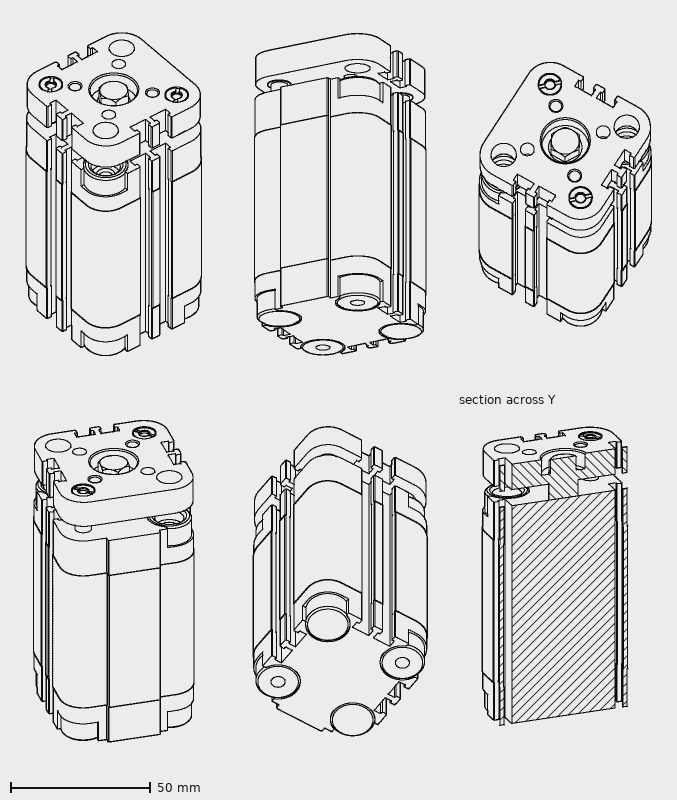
import cadquery as cq
total_height = 100.5
plate_thickness = 10.0
gap_height = 6.0
end_cap_height = 14.6
plate_bottom = total_height - plate_thickness
housing_height = plate_bottom - gap_height

barrel_half = 25.0
end_cap_half = 24.8
plate_half = 24.7
barrel_corner_radius = 8.9
end_cap_corner_radius = 8.7
plate_corner_radius = 8.9

ridge_half_width = 9.8
ridge_height = 1.9
ridge_chamfer = 0.4

slot_floor = 20.0
lip_thickness = 2.0
slot_half_width = 8.0
mouth_half_width = 7.0
web_half_width = 1.0
web_head_half_width = 1.9
mouth_chamfer = 0.3

guide_offset = 16.1
boss_radius = 7.99
boss_chamfer = 0.7
boss_depth = 7.8
notch_inset = 3.1
notch_start = guide_offset - notch_inset

screw_bore_diameter = 10.5
screw_bore_chamfer = 1.0
screw_bore_depth = 4.8
screw_cone_diameter = 6.7
screw_hole_diameter = 5.0

access_hole_diameter = 9.0
small_hole_offset = 9.9
plain_hole_diameter = 4.9
threaded_hole_diameter = 4.1
threaded_hole_mouth = 5.0
nut_bore_diameter = 17.0
nut_bore_mouth = 18.0
nut_bore_depth = 6.0

rod_diameter = 12.0
rod_across_flats = 10.0
flats_start = 1.5
rod_shoulder_rise = 0.1
hexagon_drop = 0.5

guide_diameter = 6.0
guide_collar_diameter = 8.4
guide_collar_height = 0.3
guide_end_radius = 4.2
guide_end_chamfer = 0.3
guide_end_drop = 0.2
guide_socket_mouth = 4.1
guide_socket_diameter = 3.5
guide_socket_depth = 1.0
guide_slot_width = 1.3
guide_slot_depth = 0.6

screw_corners = [(-1, 1), (1, -1)]
guide_corners = [(-1, -1), (1, 1)]


def rounded_block(half, radius, bottom, height):
    """Square block about the Z axis with rounded vertical edges."""
    block = cq.Workplane("XY").workplane(offset=bottom).rect(2 * half, 2 * half).extrude(height)
    return block.edges("|Z").fillet(radius)


def cylinder(x, y, diameter, bottom, height):
    """Upright cylinder standing on the level `bottom`."""
    return cq.Workplane("XY").workplane(offset=bottom).center(x, y).circle(diameter / 2).extrude(height)


def cone(x, y, bottom_diameter, top_diameter, bottom, height):
    """Upright frustum standing on the level `bottom`."""
    solid = cq.Solid.makeCone(bottom_diameter / 2, top_diameter / 2, height, cq.Vector(x, y, bottom))
    return cq.Workplane(obj=solid)


def cut_slots(body, half, bottom, height):
    """Cut the pairs of undercut slots into the -Y, +X and -X sides."""
    lip = half - lip_thickness
    chamfer = mouth_chamfer
    outline = [
        (web_half_width, slot_floor),
        (slot_half_width, slot_floor),
        (slot_half_width, lip),
        (mouth_half_width, lip),
        (mouth_half_width, half - chamfer),
        (mouth_half_width + chamfer, half),
        (web_head_half_width - chamfer, half),
        (web_head_half_width, half - chamfer),
        (web_head_half_width, lip),
        (web_half_width, lip),
    ]
    right_slot = cq.Workplane("XY").workplane(offset=bottom).polyline(outline).close().extrude(height)
    pair = right_slot.union(right_slot.mirror("YZ"))
    for angle in (90, 180, 270):
        body = body.cut(pair.rotate((0, 0, 0), (0, 0, 1), angle))
    return body


def make_section(half, radius, bottom, height):
    """One length of the housing with its slots and its ridge."""
    section = cut_slots(rounded_block(half, radius, bottom, height), half, bottom, height)
    ridge_top = half + ridge_height
    ridge_shoulder = ridge_top - ridge_chamfer
    ridge_top_half_width = ridge_half_width - ridge_chamfer
    outline = [
        (-ridge_half_width, slot_floor),
        (ridge_half_width, slot_floor),
        (ridge_half_width, ridge_shoulder),
        (ridge_top_half_width, ridge_top),
        (-ridge_top_half_width, ridge_top),
        (-ridge_half_width, ridge_shoulder),
    ]
    ridge = cq.Workplane("XY").workplane(offset=bottom).polyline(outline).close().extrude(height)
    return section.union(ridge)


def boss_cutter(sx, sy, end_level, inward):
    """Material around a corner boss; `inward` is the Z direction from its end face into the housing."""
    x = sx * guide_offset
    y = sy * guide_offset
    corner_width = barrel_half - notch_start
    bottom = min(end_level, end_level + inward * boss_depth)
    notch = (
        cq.Workplane("XY")
        .workplane(offset=bottom)
        .center(sx * (notch_start + corner_width / 2), sy * (notch_start + corner_width / 2))
        .rect(corner_width, corner_width)
        .extrude(boss_depth)
        .cut(cylinder(x, y, 2 * boss_radius, bottom, boss_depth))
    )
    return notch.union(chamfer_ring(x, y, boss_radius, boss_chamfer, end_level, inward))


def chamfer_ring(x, y, radius, chamfer, end_level, inward):
    """Ring of triangular section that chamfers a round end set in a flat face."""
    profile = [
        (radius - chamfer, end_level),
        (radius, end_level),
        (radius, end_level + inward * chamfer),
    ]
    ring = cq.Workplane("XZ").polyline(profile).close().revolve(360, (0, 0, 0), (0, 1, 0))
    return ring.translate((x, y, 0))


def make_housing():
    """Barrel between two end caps, with screw bosses in its corners."""
    barrel_height = housing_height - 2 * end_cap_height
    upper_cap_bottom = housing_height - end_cap_height
    body = make_section(barrel_half, barrel_corner_radius, end_cap_height, barrel_height)
    for bottom in (0, upper_cap_bottom):
        body = body.union(make_section(end_cap_half, end_cap_corner_radius, bottom, end_cap_height))

    for sx, sy in screw_corners + guide_corners:
        body = body.cut(boss_cutter(sx, sy, 0, 1))
    for sx, sy in screw_corners:
        body = body.cut(boss_cutter(sx, sy, housing_height, -1))
        body = cut_screw_hole(body, sx * guide_offset, sy * guide_offset)
    return body


def cut_screw_hole(body, x, y):
    """Chamfered counterbore with a conical seat and a hole through the housing."""
    floor = housing_height - screw_bore_depth
    seat_depth = (screw_cone_diameter - screw_hole_diameter) / 2
    mouth_diameter = screw_bore_diameter + 2 * screw_bore_chamfer
    chamfer_bottom = housing_height - screw_bore_chamfer
    body = body.cut(cylinder(x, y, screw_hole_diameter, 0, housing_height))
    body = body.cut(cone(x, y, screw_hole_diameter, screw_cone_diameter, floor - seat_depth, seat_depth))
    body = body.cut(cylinder(x, y, screw_bore_diameter, floor, screw_bore_depth))
    return body.cut(cone(x, y, screw_bore_diameter, mouth_diameter, chamfer_bottom, screw_bore_chamfer))


def make_plate():
    """Slotted plate with its holes and the central nut bore."""
    plate = rounded_block(plate_half, plate_corner_radius, plate_bottom, plate_thickness)
    plate = cut_slots(plate, plate_half, plate_bottom, plate_thickness)

    for sx, sy in screw_corners:
        for offset, diameter in (
            (guide_offset, access_hole_diameter),
            (small_hole_offset, plain_hole_diameter),
        ):
            plate = plate.cut(cylinder(sx * offset, sy * offset, diameter, plate_bottom, plate_thickness))

    countersink = (threaded_hole_mouth - threaded_hole_diameter) / 2
    for sx, sy in guide_corners:
        x = sx * small_hole_offset
        y = sy * small_hole_offset
        plate = plate.cut(cylinder(x, y, threaded_hole_diameter, plate_bottom, plate_thickness))
        mouth_bottom = total_height - countersink
        plate = plate.cut(cone(x, y, threaded_hole_diameter, threaded_hole_mouth, mouth_bottom, countersink))

    bore_chamfer = (nut_bore_mouth - nut_bore_diameter) / 2
    bore_floor = total_height - nut_bore_depth
    plate = plate.cut(cylinder(0, 0, nut_bore_diameter, bore_floor, nut_bore_depth))
    mouth_bottom = total_height - bore_chamfer
    return plate.cut(cone(0, 0, nut_bore_diameter, nut_bore_mouth, mouth_bottom, bore_chamfer))


def make_piston_rod():
    """Round rod with two wrench flats and a chamfered hexagon on top."""
    shoulder = total_height - nut_bore_depth + rod_shoulder_rise
    hexagon_top = total_height - hexagon_drop
    rod = cylinder(0, 0, rod_diameter, housing_height, shoulder - housing_height)

    flats_bottom = housing_height + flats_start
    flat_depth = (rod_diameter - rod_across_flats) / 2
    for side in (-1, 1):
        flat = (
            cq.Workplane("XY")
            .workplane(offset=flats_bottom)
            .center(0, side * (rod_across_flats + flat_depth) / 2)
            .rect(rod_diameter, flat_depth)
            .extrude(plate_bottom - flats_bottom)
        )
        rod = rod.cut(flat)

    hexagon_height = hexagon_top - shoulder
    hexagon = (
        cq.Workplane("XY")
        .workplane(offset=shoulder)
        .polygon(6, rod_across_flats, circumscribed=True)
        .extrude(hexagon_height)
    )
    trim = cone(0, 0, rod_across_flats + 2 * hexagon_height, rod_across_flats, shoulder, hexagon_height)
    return rod.union(hexagon.intersect(trim))


def add_guide_rod(body, x, y):
    """Guide rod below the plate and its slotted, chamfered end just below the top face."""
    body = body.union(cylinder(x, y, guide_diameter, housing_height, gap_height))
    collar_bottom = plate_bottom - guide_collar_height
    body = body.union(cylinder(x, y, guide_collar_diameter, collar_bottom, guide_collar_height))
    end_level = total_height - guide_end_drop
    body = body.cut(cylinder(x, y, 2 * guide_end_radius, end_level, guide_end_drop))
    body = body.cut(chamfer_ring(x, y, guide_end_radius, guide_end_chamfer, end_level, -1))

    socket_bottom = end_level - guide_socket_depth
    countersink = (guide_socket_mouth - guide_socket_diameter) / 2
    mouth_bottom = end_level - countersink
    body = body.cut(cylinder(x, y, guide_socket_diameter, socket_bottom, guide_socket_depth))
    body = body.cut(cone(x, y, guide_socket_diameter, guide_socket_mouth, mouth_bottom, countersink))

    slot_bottom = end_level - guide_slot_depth
    slot = (
        cq.Workplane("XY")
        .workplane(offset=slot_bottom)
        .rect(2 * guide_end_radius, guide_slot_width)
        .extrude(guide_slot_depth)
        .rotate((0, 0, 0), (0, 0, 1), -45)
        .translate((x, y, 0))
    )
    return body.cut(slot.intersect(cylinder(x, y, 2 * guide_end_radius, slot_bottom, guide_slot_depth)))


def make_moving_plate():
    """Plate carrying the piston rod and the two guide rods."""
    body = make_plate().union(make_piston_rod())
    for sx, sy in guide_corners:
        body = add_guide_rod(body, sx * guide_offset, sy * guide_offset)
    return body


housing = make_housing()
moving_plate = make_moving_plate()

result = cq.Compound.makeCompound([housing.val(), moving_plate.val()])